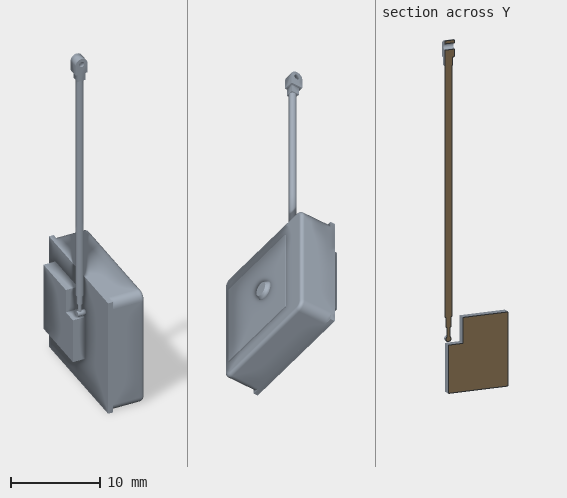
import cadquery as cq


TOTAL_HEIGHT = 45.0

BOARD_SIDE = 15.0
BOARD_THICKNESS = 0.6
CERAMIC_THICKNESS = 4.0
CERAMIC_CORNER_RADIUS = 1.0
CERAMIC_EDGE_FILLET = 0.4

PATCH_SIDE = 11.02
PATCH_THICKNESS = 0.15
PATCH_SHIFT_X = 1.0

BUTTON_BASE_DIAMETER = 2.35
BUTTON_TOP_DIAMETER = 1.7
BUTTON_HEIGHT = 0.5
BUTTON_X = -0.5

SHIELD_WIDTH = 7.45
SHIELD_HEIGHT = 8.7
SHIELD_DEPTH = 1.5
SHIELD_SIDE_MARGIN = 1.6
SHIELD_BOTTOM_MARGIN = 3.85
NOTCH_WIDTH = 1.8
NOTCH_HEIGHT = 3.0

CABLE_X = 1.58
CABLE_Y = -0.65
JACKET_DIAMETER = 0.9
INSULATION_DIAMETER = 0.68
CORE_DIAMETER = 0.4
JACKET_BOTTOM_Z = 5.25
INSULATION_BOTTOM_Z = 4.1
SOLDER_Z = 2.75

POST_DIAMETER = 0.68
POST_LENGTH = 1.0

PLUG_THICKNESS = 1.25
PLUG_WIDTH = 1.5
PLUG_HEIGHT = 2.02
PLUG_HOLE_DIAMETER = 0.68
CRIMP_THICKNESS = 1.0
CRIMP_WIDTH = 1.0
CRIMP_HEIGHT = 0.95

BOARD_BOTTOM_Z = -BOARD_SIDE / 2
CERAMIC_BACK_Y = BOARD_THICKNESS + CERAMIC_THICKNESS
PATCH_BACK_Y = CERAMIC_BACK_Y + PATCH_THICKNESS
PLUG_TOP_Z = BOARD_BOTTOM_Z + TOTAL_HEIGHT
PLUG_BOTTOM_Z = PLUG_TOP_Z - PLUG_HEIGHT
CRIMP_BOTTOM_Z = PLUG_BOTTOM_Z - CRIMP_HEIGHT
FLUSH_X = CABLE_X + JACKET_DIAMETER / 2


def facing_back(y):
    """Sketch plane at depth y whose local axes are (-X, Z) and whose normal is +Y."""
    return cq.Workplane(cq.Plane(origin=(0, y, 0), xDir=(-1, 0, 0), normal=(0, 1, 0)))


def slab(side, y, thickness, x=0):
    """Square slab centred at the given X, growing towards +Y from depth y."""
    return facing_back(y).center(-x, 0).rect(side, side).extrude(thickness)


def make_ceramic():
    ceramic = slab(BOARD_SIDE, BOARD_THICKNESS, CERAMIC_THICKNESS)
    ceramic = ceramic.edges("|Y").fillet(CERAMIC_CORNER_RADIUS)
    return ceramic.faces(">Y").edges().fillet(CERAMIC_EDGE_FILLET)


def make_button():
    base = facing_back(PATCH_BACK_Y).center(-BUTTON_X, 0).circle(BUTTON_BASE_DIAMETER / 2)
    return base.workplane(offset=BUTTON_HEIGHT).circle(BUTTON_TOP_DIAMETER / 2).loft()


def make_shield():
    left = -BOARD_SIDE / 2 + SHIELD_SIDE_MARGIN
    right = left + SHIELD_WIDTH
    bottom = BOARD_BOTTOM_Z + SHIELD_BOTTOM_MARGIN
    top = bottom + SHIELD_HEIGHT
    outline = [
        (left, bottom),
        (right, bottom),
        (right, top - NOTCH_HEIGHT),
        (right - NOTCH_WIDTH, top - NOTCH_HEIGHT),
        (right - NOTCH_WIDTH, top),
        (left, top),
    ]
    return cq.Workplane("XZ").polyline(outline).close().extrude(SHIELD_DEPTH)


def make_patch_antenna():
    """Ceramic block with its metal patch and feed button."""
    antenna = make_ceramic()
    antenna = antenna.union(slab(PATCH_SIDE, CERAMIC_BACK_Y, PATCH_THICKNESS, PATCH_SHIFT_X))
    return antenna.union(make_button())


def wire(diameter, bottom_z, top_z):
    """Round length of cable on the cable axis."""
    base = cq.Workplane("XY", origin=(CABLE_X, CABLE_Y, bottom_z))
    return base.circle(diameter / 2).extrude(top_z - bottom_z)


def make_post():
    post = cq.Workplane("XZ", origin=(CABLE_X, 0, SOLDER_Z))
    return post.circle(POST_DIAMETER / 2).extrude(POST_LENGTH)


def make_plug():
    """Plug body with a rounded top and a cross hole on the centre of the rounding."""
    radius = PLUG_WIDTH / 2
    shoulder = PLUG_HEIGHT - radius
    base = cq.Workplane("YZ", origin=(FLUSH_X - PLUG_THICKNESS, CABLE_Y, PLUG_BOTTOM_Z))
    plug = (
        base.moveTo(-radius, 0)
        .lineTo(radius, 0)
        .lineTo(radius, shoulder)
        .threePointArc((0, PLUG_HEIGHT), (-radius, shoulder))
        .close()
        .extrude(PLUG_THICKNESS)
    )
    hole = base.center(0, shoulder).circle(PLUG_HOLE_DIAMETER / 2).extrude(PLUG_THICKNESS)
    return plug.cut(hole)


def make_crimp():
    base = cq.Workplane("XY", origin=(FLUSH_X - CRIMP_THICKNESS / 2, CABLE_Y, CRIMP_BOTTOM_Z))
    return base.rect(CRIMP_THICKNESS, CRIMP_WIDTH).extrude(CRIMP_HEIGHT)


def make_cable():
    cable = wire(JACKET_DIAMETER, JACKET_BOTTOM_Z, CRIMP_BOTTOM_Z)
    cable = cable.union(wire(INSULATION_DIAMETER, INSULATION_BOTTOM_Z, JACKET_BOTTOM_Z))
    cable = cable.union(wire(CORE_DIAMETER, SOLDER_Z, INSULATION_BOTTOM_Z))
    cable = cable.union(make_crimp())
    return cable.union(make_plug())


def make_board():
    """Circuit board with its shield can, solder post and attached cable."""
    board = slab(BOARD_SIDE, 0, BOARD_THICKNESS)
    board = board.union(make_shield())
    board = board.union(make_post())
    return board.union(make_cable())


patch_antenna = make_patch_antenna()
board = make_board()

result = cq.Compound.makeCompound([patch_antenna.val(), board.val()])